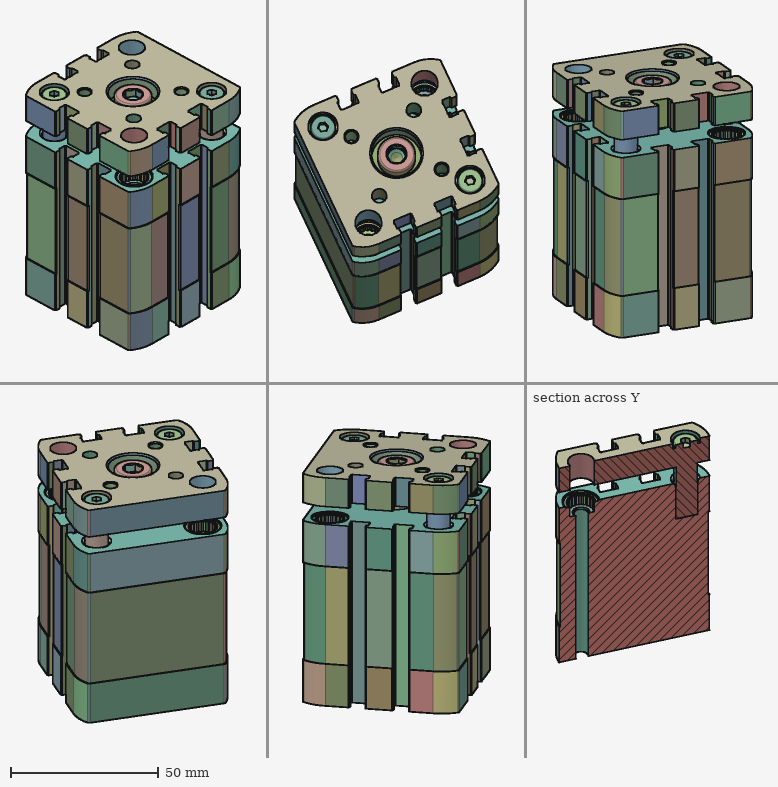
import cadquery as cq
import math

side = 54.5
total_height = 81.6
housing_height = 64.9
cap_height = 15.0
middle_inset = 0.3
plate_thickness = 10.3
half_side = side / 2
plate_bottom = total_height - plate_thickness

corner_arc_radius = 13.9
corner_arc_start = 18.8
corner_fillet = 1.0

slot_offset = 7.6
slot_mouth = 5.4
slot_inner_width = 6.7
slot_depth = 5.55
lip_depth = 2.1
lip_slope = 0.3
mouth_bevel = 0.4
floor_bevel = 0.3

rod_spacing = 37.9
guide_diameter = 8.0
guide_relief_diameter = 8.5
guide_relief_depth = 1.6
guide_mouth_diameter = 10.0
guide_engagement = cap_height
screw_recess_diameter = 10.0
screw_recess_depth = 2.0
screw_head_diameter = 8.5
screw_head_drop = 0.65
screw_head_round = 0.3
screw_hex_flats = 3.0
screw_hex_depth = 2.0
screw_hex_turn = 15.0

access_diameter = 9.0
through_diameter = 4.9
through_mouth_diameter = 5.9
rim_diameter = 12.8
rim_floor_diameter = 11.9
rim_depth = 0.4
socket_depth = 4.6
socket_minor_diameter = 8.6
socket_major_diameter = 9.3
socket_mouth_diameter = 10.0
socket_teeth = 18

small_hole_spacing = 23.25
dowel_diameter = 5.0
tapped_diameter = 4.2

piston_rod_diameter = 12.0
wrench_flats = 10.0
ledge_height = 66.75
ledge_drop = 0.6
rod_engagement = cap_height
center_recess_diameter = 17.0
center_recess_depth = 5.9
center_recess_chamfer = 0.6
boss_diameter = 12.8
boss_drop = 1.15
boss_round = 0.65
boss_hex_flats = 6.0
boss_hex_depth = 3.0
boss_drill_diameter = 4.0
drill_tip_angle = 118.0


def rising_pair(spacing):
    """Two points on the diagonal where X and Y have the same sign."""
    return [(spacing / 2, spacing / 2), (-spacing / 2, -spacing / 2)]


def falling_pair(spacing):
    """Two points on the diagonal where X and Y have opposite signs."""
    return [(-spacing / 2, spacing / 2), (spacing / 2, -spacing / 2)]


guide_points = rising_pair(rod_spacing)
access_points = falling_pair(rod_spacing)
tapped_points = rising_pair(small_hole_spacing)
dowel_points = falling_pair(small_hole_spacing)


def cylinder(diameter, bottom, top, point=(0, 0)):
    return cq.Workplane("XY", origin=(*point, bottom)).circle(diameter / 2).extrude(top - bottom)


def cone(bottom_diameter, top_diameter, bottom, top, point=(0, 0)):
    """Round taper between two diameters; a zero bottom diameter gives a point."""
    outline = [(0, bottom), (bottom_diameter / 2, bottom), (top_diameter / 2, top), (0, top)]
    if bottom_diameter == 0:
        outline = outline[1:]
    profile = cq.Workplane("XZ").polyline(outline).close()
    return profile.revolve(360, (0, 0, 0), (0, 1, 0)).translate((*point, 0))


def entry_chamfer(hole_diameter, mouth_diameter, top, point=(0, 0)):
    """45 degree taper from a hole up to its wider mouth."""
    depth = (mouth_diameter - hole_diameter) / 2
    return cone(hole_diameter, mouth_diameter, top - depth, top, point)


def hex_prism(flats, bottom, top, point=(0, 0), turn=0.0):
    corner_diameter = flats / math.cos(math.pi / 6)
    prism = cq.Workplane("XY").polygon(6, corner_diameter).extrude(top - bottom)
    return prism.rotate((0, 0, 0), (0, 0, 1), turn).translate((*point, bottom))


def slot_cutter(face_distance, bottom, top):
    """T-slot through the -Y face, centred on X = 0."""
    face = -face_distance
    lip = -half_side + lip_depth
    floor = -half_side + slot_depth
    mouth = slot_mouth / 2
    inner = slot_inner_width / 2
    right = [
        (mouth + mouth_bevel, face),
        (mouth, face + mouth_bevel),
        (mouth, lip),
        (inner, lip + lip_slope),
        (inner, floor - floor_bevel),
        (inner - floor_bevel, floor),
    ]
    left = [(-x, y) for x, y in reversed(right)]
    return cq.Workplane("XY", origin=(0, 0, bottom)).polyline(right + left).close().extrude(top - bottom)


def profile_block(bottom, top, inset=0.0):
    """Block with bowed corners and T-slots in the -X, +X and -Y faces."""
    face_distance = half_side - inset
    rise = half_side - corner_arc_start
    corner_x = half_side - corner_arc_radius + math.sqrt(corner_arc_radius**2 - rise**2)
    middle_angle = math.asin(rise / corner_arc_radius) / 2
    middle_x = half_side - corner_arc_radius * (1 - math.cos(middle_angle))
    middle_y = corner_arc_start + corner_arc_radius * math.sin(middle_angle)
    outline = (
        cq.Workplane("XY", origin=(0, 0, bottom))
        .moveTo(half_side, -corner_arc_start)
        .lineTo(half_side, corner_arc_start)
        .threePointArc((middle_x, middle_y), (corner_x, half_side))
        .lineTo(-corner_x, half_side)
        .threePointArc((-middle_x, middle_y), (-half_side, corner_arc_start))
        .lineTo(-half_side, -corner_arc_start)
        .threePointArc((-middle_x, -middle_y), (-corner_x, -half_side))
        .lineTo(corner_x, -half_side)
        .threePointArc((middle_x, -middle_y), (half_side, -corner_arc_start))
        .close()
    )
    if inset > 0:
        outline = outline.offset2D(-inset)
    block = outline.extrude(top - bottom)
    block = block.edges("|Z").edges(">Y or <Y").fillet(corner_fillet)
    for turn in (-90, 0, 90):
        for offset in (-slot_offset, slot_offset):
            cutter = slot_cutter(face_distance, bottom, top).translate((offset, 0, 0))
            block = block.cut(cutter.rotate((0, 0, 0), (0, 0, 1), turn))
    return block


def serrated_socket(bottom, top, point):
    """Bore whose wall is a ring of V-shaped teeth."""
    outline = []
    for index in range(2 * socket_teeth):
        diameter = socket_major_diameter if index % 2 else socket_minor_diameter
        angle = math.pi * index / socket_teeth
        outline.append((diameter / 2 * math.cos(angle), diameter / 2 * math.sin(angle)))
    return cq.Workplane("XY", origin=(*point, bottom)).polyline(outline).close().extrude(top - bottom)


def make_housing():
    middle_top = housing_height - cap_height
    housing = profile_block(0, cap_height)
    housing = housing.union(profile_block(cap_height, middle_top, middle_inset))
    housing = housing.union(profile_block(middle_top, housing_height))

    housing = housing.cut(cylinder(piston_rod_diameter, housing_height - rod_engagement, housing_height))
    guide_bottom = housing_height - guide_engagement
    relief_floor = housing_height - guide_relief_depth
    for point in guide_points:
        housing = housing.cut(cylinder(guide_diameter, guide_bottom, housing_height, point))
        housing = housing.cut(cylinder(guide_relief_diameter, relief_floor, housing_height, point))
        housing = housing.cut(
            entry_chamfer(guide_relief_diameter, guide_mouth_diameter, housing_height, point)
        )

    rim_floor = housing_height - rim_depth
    socket_floor = housing_height - socket_depth
    for point in access_points:
        housing = housing.cut(cone(rim_floor_diameter, rim_diameter, rim_floor, housing_height, point))
        housing = housing.cut(serrated_socket(socket_floor, rim_floor, point))
        housing = housing.cut(entry_chamfer(socket_major_diameter, socket_mouth_diameter, rim_floor, point))
        housing = housing.cut(entry_chamfer(through_diameter, through_mouth_diameter, socket_floor, point))
        housing = housing.cut(cylinder(through_diameter, 0, socket_floor, point))
    return housing


def piston_rod():
    """Round rod with two wrench flats that end in sloping ledges."""
    rod = cylinder(piston_rod_diameter, housing_height - rod_engagement, plate_bottom)
    flat = wrench_flats / 2
    edge = piston_rod_diameter / 2
    profile = [
        (flat, ledge_height),
        (edge, ledge_height - ledge_drop),
        (edge, plate_bottom),
        (flat, plate_bottom),
    ]
    for sign in (-1, 1):
        points = [(sign * y, z) for y, z in profile]
        rod = rod.cut(cq.Workplane("YZ").polyline(points).close().extrude(edge, both=True))
    return rod


def rod_boss():
    """Rounded boss in the plate recess with a hexagon socket and a drilled tip."""
    top = total_height - boss_drop
    hex_floor = top - boss_hex_depth
    hex_corners = boss_hex_flats / math.cos(math.pi / 6)
    step_bottom = hex_floor - (boss_hex_flats - boss_drill_diameter) / 2
    tip_depth = boss_drill_diameter / 2 / math.tan(math.radians(drill_tip_angle / 2))
    boss = cylinder(boss_diameter, plate_bottom, top).faces(">Z").edges().fillet(boss_round)
    boss = boss.cut(hex_prism(boss_hex_flats, hex_floor, top))
    boss = boss.cut(entry_chamfer(boss_hex_flats, hex_corners, top))
    boss = boss.cut(entry_chamfer(boss_drill_diameter, boss_hex_flats, hex_floor))
    return boss.cut(cone(0, boss_drill_diameter, step_bottom - tip_depth, step_bottom))


def screw_head(point):
    top = total_height - screw_head_drop
    head = cylinder(screw_head_diameter, plate_bottom, top, point)
    head = head.faces(">Z").edges().fillet(screw_head_round)
    return head.cut(hex_prism(screw_hex_flats, top - screw_hex_depth, top, point, screw_hex_turn))


def drilled_plate():
    plate = profile_block(plate_bottom, total_height)
    recess_mouth = center_recess_diameter + 2 * center_recess_chamfer
    plate = plate.cut(cylinder(center_recess_diameter, total_height - center_recess_depth, total_height))
    plate = plate.cut(entry_chamfer(center_recess_diameter, recess_mouth, total_height))
    plate = plate.cut(cylinder(boss_diameter, plate_bottom, total_height))
    for point in guide_points:
        plate = plate.cut(
            cylinder(screw_recess_diameter, total_height - screw_recess_depth, total_height, point)
        )
        plate = plate.cut(cylinder(screw_head_diameter, plate_bottom, total_height, point))
    for point in access_points:
        plate = plate.cut(cylinder(access_diameter, plate_bottom, total_height, point))
    for point in dowel_points:
        plate = plate.cut(cylinder(dowel_diameter, plate_bottom, total_height, point))
    for point in tapped_points:
        plate = plate.cut(cylinder(tapped_diameter, plate_bottom, total_height, point))
        plate = plate.cut(entry_chamfer(tapped_diameter, dowel_diameter, total_height, point))
    return plate


def make_moving_unit():
    unit = drilled_plate().union(rod_boss()).union(piston_rod())
    for point in guide_points:
        guide_rod = cylinder(guide_diameter, housing_height - guide_engagement, plate_bottom, point)
        unit = unit.union(screw_head(point)).union(guide_rod)
    return unit


housing = make_housing()
moving_unit = make_moving_unit()

result = cq.Compound.makeCompound([housing.solids().val(), moving_unit.solids().val()])